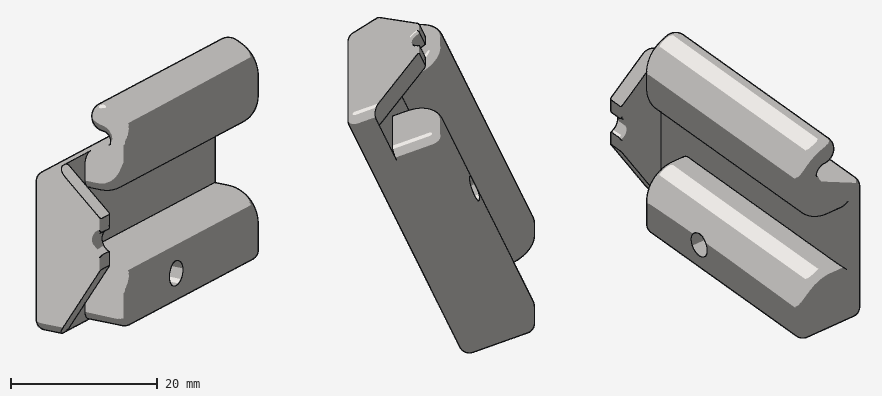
import cadquery as cq
import math

width = 11.0
length = 41.8
height = 31.5
edge_radius = 1.45

plate_thickness = 4.1
slope_angle = math.radians(24.6)

hook_start_y = 7.05
tip_radius = 2.0
throat_radius = 1.05
hook_center_x = 6.5
back_radius = 4.9
upper_nose_z = 23.85
lower_nose_z = 5.22

tab_thickness = 2.45
tab_top_z = 18.15
tab_bottom_z = 10.8
tab_edge_radius = 0.25
notch_center_x = 11.65
notch_radius = 1.75
notch_rounding = 0.45

screw_y = 19.5
screw_z = 4.5
screw_radius = 1.75
screw_rounding = 1.0

slope_sin = math.sin(slope_angle)
slope_cos = math.cos(slope_angle)
tip_z = height - tip_radius
throat_z = tip_z - tip_radius - throat_radius
back_center_x = width - back_radius
back_center_z = tip_z + (
    (hook_center_x - back_center_x) * slope_sin + tip_radius - back_radius
) / slope_cos
slope_start_z = throat_z - throat_radius / slope_cos - hook_center_x * math.tan(slope_angle)
plate_top_z = slope_start_z + plate_thickness * math.tan(slope_angle)
notch_z = (tab_top_z + tab_bottom_z) / 2


def arc_point(center_x, center_z, radius, angle):
    """Point on an XZ circle, with the angle in radians from +X towards +Z."""
    return center_x + radius * math.cos(angle), center_z + radius * math.sin(angle)


def extrude_along_y(outline, start_y, end_y):
    """Extrude a closed XZ outline between two Y positions."""
    return outline.extrude(start_y - end_y).translate((0, start_y, 0))


def hook_block():
    """Plate, hook and channel in one section, rounded at both ends."""
    normal_angle = math.pi / 2 - slope_angle
    throat_start = arc_point(hook_center_x, throat_z, throat_radius, -normal_angle)
    throat_end = (hook_center_x, throat_z + throat_radius)
    tip_end = arc_point(hook_center_x, tip_z, tip_radius, normal_angle)
    back_start = arc_point(back_center_x, back_center_z, back_radius, normal_angle)
    back_middle = arc_point(back_center_x, back_center_z, back_radius, normal_angle / 2)
    upper_nose_middle = arc_point(back_center_x, upper_nose_z, back_radius, -math.pi / 4)
    lower_nose_middle = arc_point(back_center_x, lower_nose_z, back_radius, math.pi / 4)
    outline = (
        cq.Workplane("XZ")
        .moveTo(0, 0)
        .lineTo(0, slope_start_z)
        .lineTo(*throat_start)
        .threePointArc((hook_center_x + throat_radius, throat_z), throat_end)
        .threePointArc((hook_center_x - tip_radius, tip_z), tip_end)
        .lineTo(*back_start)
        .threePointArc(back_middle, (width, back_center_z))
        .lineTo(width, upper_nose_z)
        .threePointArc(upper_nose_middle, (back_center_x, upper_nose_z - back_radius))
        .lineTo(plate_thickness, upper_nose_z - back_radius)
        .lineTo(plate_thickness, lower_nose_z + back_radius)
        .lineTo(back_center_x, lower_nose_z + back_radius)
        .threePointArc(lower_nose_middle, (width, lower_nose_z))
        .lineTo(width, 0)
        .close()
    )
    block = extrude_along_y(outline, hook_start_y, length)
    block = block.edges("|Y and (<X or <Z)").fillet(edge_radius)
    return block.faces("<Y or >Y").edges().fillet(edge_radius)


def front_plate():
    """Front stretch of the back plate with its pointed tab."""
    end_y = length / 2
    block_outline = (
        cq.Workplane("XZ")
        .moveTo(0, 0)
        .lineTo(0, slope_start_z)
        .lineTo(width, slope_start_z + width * math.tan(slope_angle))
        .lineTo(width, 0)
        .close()
    )
    block = extrude_along_y(block_outline, 0, end_y)
    block = block.edges("|Y and <X").fillet(edge_radius)
    block = block.faces("<Y").edges("not >X").fillet(edge_radius)
    tab_outline = (
        cq.Workplane("XZ")
        .moveTo(0, 0)
        .lineTo(0, plate_top_z)
        .lineTo(plate_thickness, plate_top_z)
        .lineTo(width, tab_top_z)
        .lineTo(width, tab_bottom_z)
        .lineTo(plate_thickness, 0)
        .close()
    )
    tab = extrude_along_y(tab_outline, 0, tab_thickness)
    tab = tab.faces(">X").edges("|Z").fillet(tab_edge_radius)
    plate = cq.Workplane("XY").box(plate_thickness, end_y, plate_top_z, centered=False)
    return block.intersect(plate.union(tab))


def rounded_hole(radius, depth, start_rounding, end_rounding):
    """Cutter along +Z from the origin whose mouths flare out in quarter rounds."""
    diagonal = 1 - math.sqrt(0.5)
    outline = cq.Workplane("XZ").moveTo(0, 0).lineTo(radius + start_rounding, 0)
    outline = outline.threePointArc(
        (radius + start_rounding * diagonal, start_rounding * diagonal),
        (radius, start_rounding),
    )
    outline = outline.lineTo(radius, depth - end_rounding)
    if end_rounding > 0:
        outline = outline.threePointArc(
            (radius + end_rounding * diagonal, depth - end_rounding * diagonal),
            (radius + end_rounding, depth),
        )
    return outline.lineTo(0, depth).close().revolve(360, (0, 0, 0), (0, 1, 0))


screw_hole = (
    rounded_hole(screw_radius, width, screw_rounding, 0)
    .rotate((0, 0, 0), (0, 1, 0), 90)
    .translate((0, screw_y, screw_z))
)
notch = (
    rounded_hole(notch_radius, tab_thickness, notch_rounding, notch_rounding)
    .rotate((0, 0, 0), (1, 0, 0), -90)
    .translate((notch_center_x, 0, notch_z))
)
result = hook_block().union(front_plate()).cut(screw_hole).cut(notch).clean()